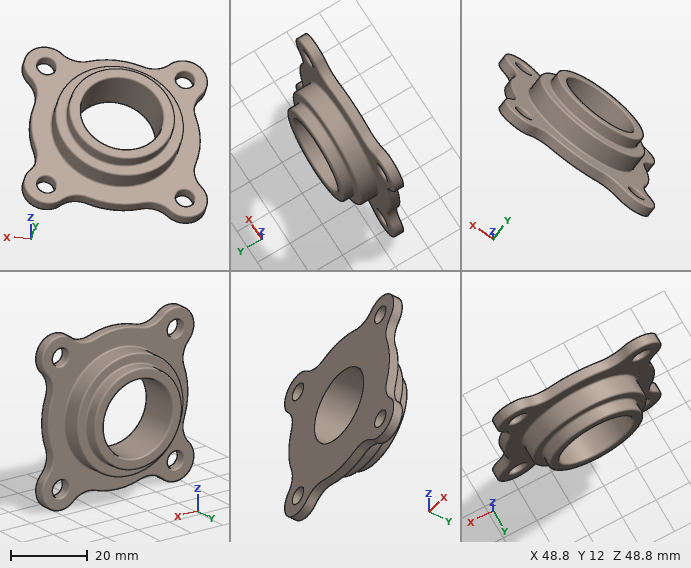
import cadquery as cq
import math

overall_width = 48.75
lobe_radius = 6.0
waist_radius = 7.0
disc_radius = 22.5
bolt_hole_diameter = 5.0
bore_diameter = 22.0
flange_thickness = 3.0
shoulder_diameter = 34.0
shoulder_top = 8.5
collar_diameter = 28.0
total_depth = 12.0
edge_radius = 0.5

lobe_offset = overall_width / 2 - lobe_radius


def polar(radius, angle):
    return radius * math.cos(angle), radius * math.sin(angle)


def flange_outline():
    """Four lobes blended into a central disc by tangent concave arcs."""
    lobe_distance = lobe_offset * math.sqrt(2)
    waist_distance = disc_radius + waist_radius
    lobe_to_waist = lobe_radius + waist_radius

    waist_angle = math.acos(
        (lobe_distance**2 + waist_distance**2 - lobe_to_waist**2)
        / (2 * lobe_distance * waist_distance)
    )
    waist_x, waist_y = polar(waist_distance, waist_angle)
    to_lobe = math.atan2(-waist_y, lobe_distance - waist_x)
    to_disc = waist_angle - math.pi
    waist_middle = (to_lobe + to_disc) / 2

    def waist_point(angle):
        dx, dy = polar(waist_radius, angle)
        return math.hypot(waist_x + dx, waist_y + dy), math.atan2(waist_y + dy, waist_x + dx)

    lobe_end_distance, lobe_end_angle = waist_point(to_lobe)
    middle_distance, middle_angle = waist_point(waist_middle)

    first_diagonal = math.pi / 4
    outline = cq.Workplane("XZ").moveTo(*polar(lobe_end_distance, first_diagonal - lobe_end_angle))
    for corner in range(4):
        diagonal = first_diagonal + corner * math.pi / 2
        next_diagonal = diagonal + math.pi / 2
        outline = (
            outline
            .threePointArc(
                polar(lobe_distance + lobe_radius, diagonal),
                polar(lobe_end_distance, diagonal + lobe_end_angle),
            )
            .threePointArc(
                polar(middle_distance, diagonal + middle_angle),
                polar(disc_radius, diagonal + waist_angle),
            )
            .threePointArc(
                polar(disc_radius, diagonal + math.pi / 4),
                polar(disc_radius, next_diagonal - waist_angle),
            )
            .threePointArc(
                polar(middle_distance, next_diagonal - middle_angle),
                polar(lobe_end_distance, next_diagonal - lobe_end_angle),
            )
        )
    return outline.close()


def cylinder(diameter, depth):
    return cq.Workplane("XZ").circle(diameter / 2).extrude(-depth)


def make_flange():
    flange = flange_outline().extrude(-flange_thickness)
    return flange.faces(">Y").edges().fillet(edge_radius)


def make_hub():
    """Stepped hub with rounded rims and a fillet in the step."""
    shoulder = cylinder(shoulder_diameter, shoulder_top).faces(">Y").edges().fillet(edge_radius)
    collar = cylinder(collar_diameter, total_depth).faces(">Y").edges().fillet(edge_radius)
    return shoulder.union(collar).union(
        corner_fillet(collar_diameter, shoulder_top)
    )


def corner_fillet(diameter, base):
    """Ring filling the inner corner between a cylinder and the face at its base."""
    radius = diameter / 2
    overlap = edge_radius
    arc_reach = edge_radius * (1 - math.sqrt(0.5))
    return (
        cq.Workplane("XY")
        .moveTo(radius, base + edge_radius)
        .threePointArc((radius + arc_reach, base + arc_reach), (radius + edge_radius, base))
        .lineTo(radius + edge_radius, base - overlap)
        .lineTo(radius - overlap, base - overlap)
        .lineTo(radius - overlap, base + edge_radius)
        .close()
        .revolve(360, (0, 0, 0), (0, 1, 0))
    )


def make_hole_cutter(diameter, depth):
    """Cylinder whose far end flares out to leave a rounded rim on the hole."""
    radius = diameter / 2
    arc_reach = edge_radius * (1 - math.sqrt(0.5))
    return (
        cq.Workplane("XY")
        .lineTo(radius, 0)
        .lineTo(radius, depth - edge_radius)
        .threePointArc((radius + arc_reach, depth - arc_reach), (radius + edge_radius, depth))
        .lineTo(0, depth)
        .close()
        .revolve(360, (0, 0, 0), (0, 1, 0))
    )


result = (
    make_flange()
    .union(make_hub())
    .union(corner_fillet(shoulder_diameter, flange_thickness))
    .cut(make_hole_cutter(bore_diameter, total_depth))
)

bolt_hole_cutter = make_hole_cutter(bolt_hole_diameter, flange_thickness)
for x in (-lobe_offset, lobe_offset):
    for z in (-lobe_offset, lobe_offset):
        result = result.cut(bolt_hole_cutter.translate((x, 0, z)))